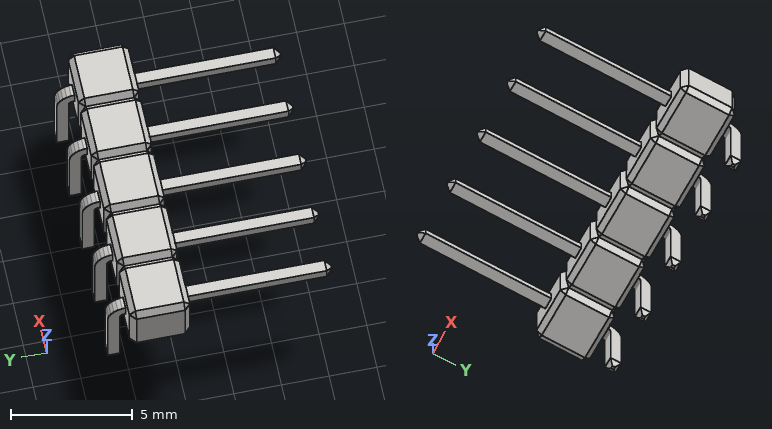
import cadquery as cq
import math

POSITIONS = 5
ROW_LENGTH = 12.7
PITCH = ROW_LENGTH / POSITIONS

BLOCK_SIZE = PITCH
BLOCK_HALF = BLOCK_SIZE / 2
BLOCK_CHAMFER = 0.25

PIN_WIDTH = 0.51
PIN_HALF = PIN_WIDTH / 2
FRONT_REACH = 6.16
REAR_REACH = 0.75
LEG_DROP = 2.54

BEND_FACETS = 6
BEND_TILT = math.radians(4.5)
BEND_OUTER_RADIUS = 0.74
BEND_INNER_RADIUS = BEND_OUTER_RADIUS - PIN_WIDTH / math.cos(BEND_TILT)
BEND_OFFSET = BEND_OUTER_RADIUS * math.cos(BEND_TILT)

TIP_LENGTH = 0.25
TIP_FLAT = 0.13
TIP_TAPER = math.degrees(math.atan((PIN_WIDTH - TIP_FLAT) / 2 / TIP_LENGTH))

FRONT_SHOULDER_Y = -BLOCK_HALF - FRONT_REACH + TIP_LENGTH
LEG_SHOULDER_Z = -BLOCK_HALF - LEG_DROP + TIP_LENGTH
LEG_BACK_Y = BLOCK_HALF + REAR_REACH
LEG_CENTRE_Y = LEG_BACK_Y - PIN_HALF
BEND_CENTRE_Y = LEG_BACK_Y - BEND_OFFSET
BEND_CENTRE_Z = PIN_HALF - BEND_OFFSET


def make_block():
    """Cube with every edge chamfered."""
    return cq.Workplane("XY").box(BLOCK_SIZE, BLOCK_SIZE, BLOCK_SIZE).edges().chamfer(BLOCK_CHAMFER)


def bend_points(radius):
    """Corners of the faceted quarter turn as (Y, Z), from the horizontal run to the leg."""
    quarter_turn = math.pi / 2
    start_angle = quarter_turn + BEND_TILT
    angles = [start_angle - quarter_turn * i / BEND_FACETS for i in range(BEND_FACETS + 1)]
    return [
        (BEND_CENTRE_Y + radius * math.cos(angle), BEND_CENTRE_Z + radius * math.sin(angle))
        for angle in angles
    ]


def make_tip(plane):
    """Square taper that starts on the given plane and narrows along its normal."""
    return cq.Workplane(plane).rect(PIN_WIDTH, PIN_WIDTH).extrude(TIP_LENGTH, taper=TIP_TAPER)


def make_pin():
    """L-shaped square pin with a faceted bend and a taper at both ends."""
    outline = [
        (FRONT_SHOULDER_Y, PIN_HALF),
        *bend_points(BEND_OUTER_RADIUS),
        (LEG_BACK_Y, LEG_SHOULDER_Z),
        (LEG_BACK_Y - PIN_WIDTH, LEG_SHOULDER_Z),
        *reversed(bend_points(BEND_INNER_RADIUS)),
        (FRONT_SHOULDER_Y, -PIN_HALF),
    ]
    bar = cq.Workplane("YZ").polyline(outline).close().extrude(PIN_HALF, both=True)
    front_end = cq.Plane(origin=(0, FRONT_SHOULDER_Y, 0), xDir=(1, 0, 0), normal=(0, -1, 0))
    leg_end = cq.Plane(origin=(0, LEG_CENTRE_Y, LEG_SHOULDER_Z), xDir=(1, 0, 0), normal=(0, 0, -1))
    return bar.union(make_tip(front_end)).union(make_tip(leg_end))


def make_header_position(x):
    """One block and its pin, fused, centred at the given X."""
    return make_block().union(make_pin()).translate((x, 0, 0))


first_x = (PITCH - ROW_LENGTH) / 2
header_positions = [make_header_position(first_x + i * PITCH) for i in range(POSITIONS)]

result = cq.Compound.makeCompound([position.solids().val() for position in header_positions])